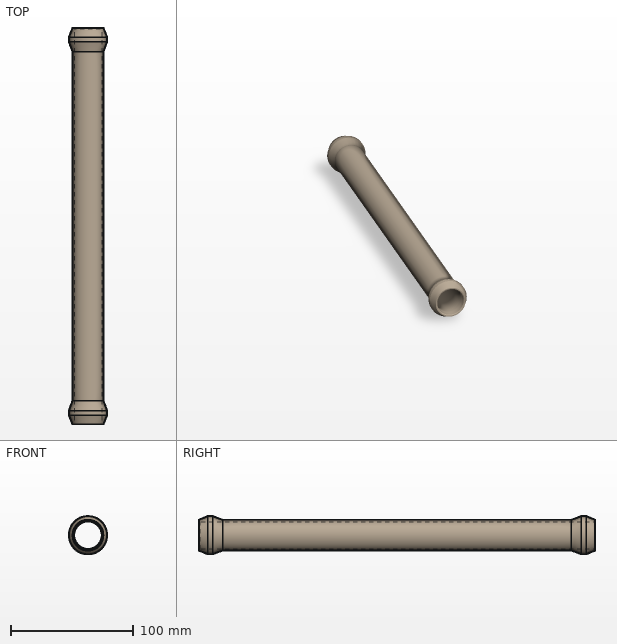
import cadquery as cq

length = 324.0
bore_diameter = 22.5
wall_thickness = 1.52
collar_diameter = 31.5
end_cone_length = 7.5
crest_width = 4.0
inner_cone_length = 8.0
bore_chamfer = 0.5

bore_radius = bore_diameter / 2
mouth_radius = bore_radius + bore_chamfer
tube_radius = bore_radius + wall_thickness
collar_radius = collar_diameter / 2
end_y = length / 2
crest_outer_y = end_y - end_cone_length
crest_inner_y = crest_outer_y - crest_width
collar_foot_y = crest_inner_y - inner_cone_length

half_profile = [
    (tube_radius, collar_foot_y),
    (collar_radius, crest_inner_y),
    (collar_radius, crest_outer_y),
    (tube_radius, end_y),
    (mouth_radius, end_y),
    (bore_radius, end_y - bore_chamfer),
]
mirrored_profile = [(radius, -y) for radius, y in reversed(half_profile)]

result = (
    cq.Workplane("XY")
    .polyline(mirrored_profile + half_profile)
    .close()
    .revolve(360, (0, 0, 0), (0, 1, 0))
)